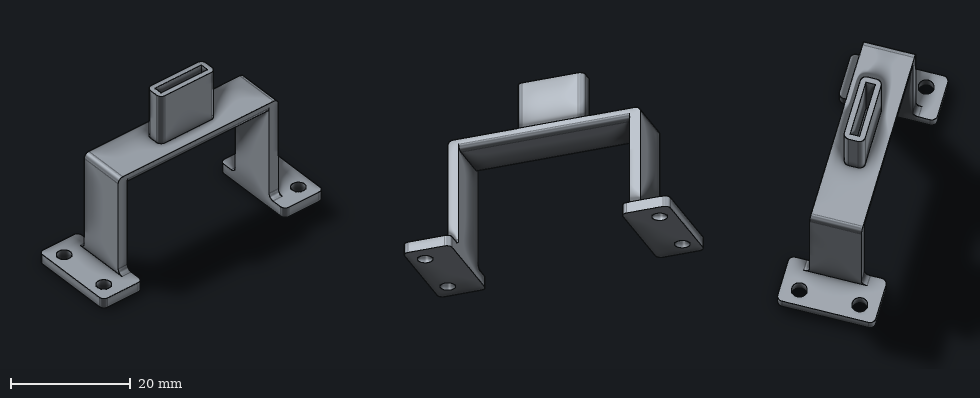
import cadquery as cq

foot_width = 17.0
foot_length = 8.5
foot_thickness = 2.0
overall_length = 47.6
hole_diameter = 2.6
hole_spacing = 10.45
hole_edge_distance = 2.8

strap_width = 9.0
strap_thickness = 2.0
bridge_height = 22.0
leg_inner_gap = overall_length - 2 * foot_length
bridge_length = leg_inner_gap + 2 * strap_thickness

post_width = 3.6
post_length = 12.0
post_height = 10.0
post_wall = 1.0

edge_radius = 1.0


def foot(side):
    """Rounded mounting plate with two holes; side is +1 or -1 along Y."""
    outer_face = side * overall_length / 2
    plate = (
        cq.Workplane("XY")
        .center(0, outer_face - side * foot_length / 2)
        .rect(foot_width, foot_length)
        .extrude(foot_thickness)
        .edges("|Z")
        .fillet(edge_radius)
    )
    holes = (
        cq.Workplane("XY")
        .center(0, outer_face - side * hole_edge_distance)
        .pushPoints([(-hole_spacing / 2, 0), (hole_spacing / 2, 0)])
        .circle(hole_diameter / 2)
        .extrude(foot_thickness)
    )
    return plate.cut(holes)


def bridge():
    """Upside-down U with rounded outer bends and rounded long edges under the beam."""
    outer = (
        cq.Workplane("XY")
        .box(strap_width, bridge_length, bridge_height, centered=(True, True, False))
        .edges("|X and >Z")
        .fillet(edge_radius)
    )
    opening = cq.Workplane("XY").box(
        strap_width, leg_inner_gap, bridge_height - strap_thickness, centered=(True, True, False)
    )
    half_width = strap_width / 2
    underside = bridge_height - strap_thickness
    strip = (
        cq.Workplane("XZ", origin=(0, leg_inner_gap / 2, 0))
        .moveTo(half_width - edge_radius, underside)
        .lineTo(half_width, underside)
        .lineTo(half_width, underside + edge_radius)
        .radiusArc((half_width - edge_radius, underside), edge_radius)
        .close()
        .extrude(leg_inner_gap)
    )
    return outer.cut(opening).cut(strip).cut(strip.mirror("YZ"))


def root_fillet(side):
    """Concave fillets from both flanks of one leg down to its foot."""
    half_width = strap_width / 2
    leg_outer_face = side * bridge_length / 2
    flank = (
        cq.Workplane("XZ", origin=(0, leg_outer_face, 0))
        .moveTo(half_width, foot_thickness)
        .lineTo(half_width + edge_radius, foot_thickness)
        .radiusArc((half_width, foot_thickness + edge_radius), edge_radius)
        .close()
        .extrude(side * strap_thickness)
    )
    return flank.union(flank.mirror("YZ"))


def post():
    """Rounded rectangular post with a rectangular pocket down to the beam."""
    return (
        cq.Workplane("XY", origin=(0, 0, bridge_height))
        .rect(post_width, post_length)
        .extrude(post_height)
        .edges("|Z")
        .fillet(edge_radius)
        .faces(">Z")
        .workplane()
        .rect(post_width - 2 * post_wall, post_length - 2 * post_wall)
        .cutBlind(-post_height)
    )


result = bridge().union(post())
for side in (-1, 1):
    result = result.union(foot(side)).union(root_fillet(side))